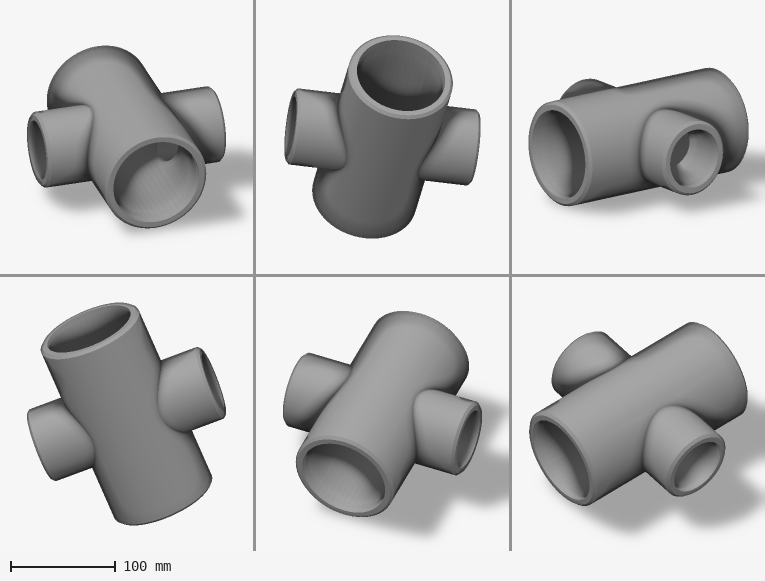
import cadquery as cq

run_length = 190.5
run_diameter = 101.5
run_bore = 85.7
branch_length = 177.7
branch_diameter = 73.2
branch_bore = 57.3
end_chamfer = 2.7


def centered_cylinder(plane, diameter, length):
    """Cylinder centred on the origin, along the normal of the plane."""
    return cq.Workplane(plane).circle(diameter / 2).extrude(length / 2, both=True)


run = centered_cylinder("YZ", run_diameter, run_length)
run = run.faces("<X or >X").chamfer(end_chamfer)
branch = centered_cylinder("XZ", branch_diameter, branch_length)
branch = branch.faces("<Y or >Y").chamfer(end_chamfer)

run_passage = centered_cylinder("YZ", run_bore, run_length)
branch_passage = centered_cylinder("XZ", branch_bore, branch_length)

result = run.union(branch).cut(run_passage).cut(branch_passage)